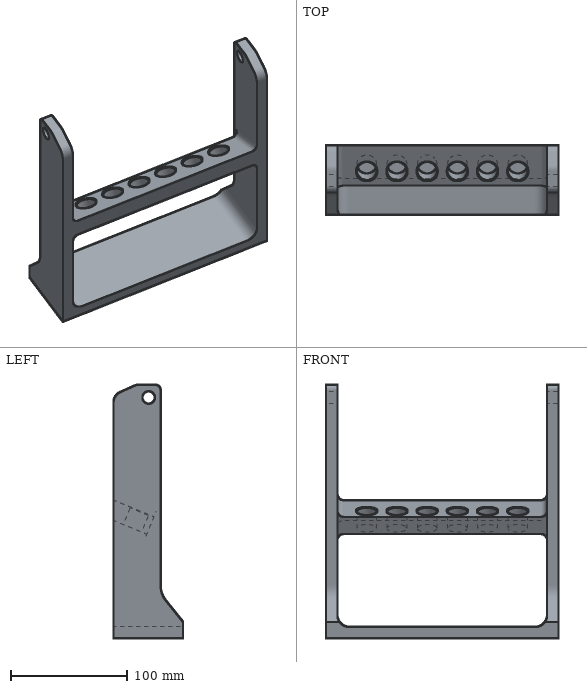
import cadquery as cq
import math

width = 200.0
depth = 60.0
height = 218.0
wall = 10.0

upright_depth = 40.8
toe_height = 14.2
foot_height = 38.2
foot_radius = 20.0
back_slope_run = 20.0
back_slope_drop = 9.0
back_slope_radius = 10.0
top_front_radius = 5.0
pivot_diameter = 10.5
pivot_from_back = 30.3
pivot_height = 206.9

base_corner_radius = 10.0

shelf_front = 34.9
shelf_front_height = 104.5
shelf_back_height = 118.8
shelf_thickness = 16.1
shelf_end_radius = 5.0

hole_count = 6
hole_pitch = 26.0
hole_diameter = 17.0
hole_rim_chamfer = 0.7
hole_from_front = 13.3

inner_width = width - 2 * wall
shelf_rise = shelf_back_height - shelf_front_height
shelf_tilt = math.degrees(math.atan2(shelf_rise, shelf_front))
shelf_length = math.hypot(shelf_front, shelf_rise)


def side_block():
    """Solid with the outline of an upright, extruded over the full width."""
    foot_point = (-upright_depth, foot_height)
    top_front_point = (-upright_depth, height)
    slope_top = (-back_slope_run, height)
    slope_bottom = (0, height - back_slope_drop)
    body = (
        cq.Workplane("YZ", origin=(-width / 2, 0, 0))
        .polyline([
            (0, 0),
            (-depth, 0),
            (-depth, toe_height),
            foot_point,
            top_front_point,
            slope_top,
            slope_bottom,
        ])
        .close()
        .extrude(width)
    )
    roundings = [
        (foot_point, foot_radius),
        (top_front_point, top_front_radius),
        (slope_top, back_slope_radius),
        (slope_bottom, back_slope_radius),
    ]
    for (y, z), radius in roundings:
        corner = cq.selectors.NearestToPointSelector((0, y, z))
        body = body.edges("|X").edges(corner).fillet(radius)
    return body


def frame():
    """Two uprights joined by the base, with rounded inner corners."""
    opening = (
        cq.Workplane("XY")
        .box(inner_width, 2 * depth, height, centered=(True, True, False))
        .edges("|Y and <Z")
        .fillet(base_corner_radius)
        .translate((0, 0, wall))
    )
    pivot_hole = (
        cq.Workplane("YZ", origin=(-width / 2, 0, 0))
        .center(-pivot_from_back, pivot_height)
        .circle(pivot_diameter / 2)
        .extrude(width)
    )
    return side_block().cut(opening).cut(pivot_hole)


def shelf():
    """Perforated shelf with flared ends, cut off flush with the back."""
    half = inner_width / 2
    radius = shelf_end_radius
    bottom = -shelf_thickness
    extrusion = shelf_length + shelf_thickness
    bar = (
        cq.Workplane("XZ")
        .moveTo(-half, radius)
        .radiusArc((-half + radius, 0), -radius)
        .lineTo(half - radius, 0)
        .radiusArc((half, radius), -radius)
        .lineTo(half, bottom - radius)
        .radiusArc((half - radius, bottom), -radius)
        .lineTo(-half + radius, bottom)
        .radiusArc((-half, bottom - radius), -radius)
        .close()
        .extrude(-extrusion)
    )
    hole_spots = [
        ((index - (hole_count - 1) / 2) * hole_pitch, hole_from_front)
        for index in range(hole_count)
    ]
    rim_diameter = hole_diameter + 2 * hole_rim_chamfer
    bar = (
        bar.cut(
            cq.Workplane("XY", origin=(0, 0, bottom))
            .pushPoints(hole_spots)
            .circle(hole_diameter / 2)
            .extrude(shelf_thickness)
        )
        .cut(
            cq.Workplane("XY")
            .pushPoints(hole_spots)
            .circle(rim_diameter / 2)
            .extrude(-hole_rim_chamfer, taper=45)
        )
    )
    tilted = (
        bar.rotate((0, 0, 0), (1, 0, 0), shelf_tilt)
        .translate((0, -shelf_front, shelf_front_height))
    )
    trim = cq.Workplane("XY").box(width, depth, height, centered=(True, True, False))
    return tilted.intersect(trim.translate((0, -depth / 2, 0)))


result = frame().union(shelf())